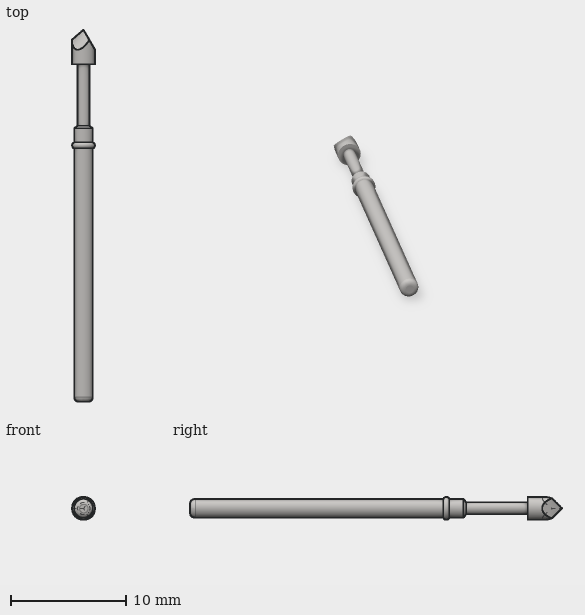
import cadquery as cq
import math

length = 32.3
head_diameter = 2.0
head_length = 3.0
facet_angle = 30.0
facet_count = 3
plunger_diameter = 1.05
plunger_length = 5.33
barrel_diameter = 1.65
barrel_chamfer = 0.23
tail_fillet = 0.45
ring_diameter = 2.0
ring_width = 0.52
ring_setback = 1.7

head_base = length - head_length
barrel_length = head_base - plunger_length
barrel_radius = barrel_diameter / 2
ring_center = barrel_length - ring_setback


def revolve_about_y(profile):
    """Turn a closed XY profile a full revolution about the Y axis."""
    return profile.close().revolve(360, (0, 0, 0), (0, 1, 0))


def make_barrel():
    """Tube body with a rounded tail and a tapered mouth."""
    corner_midpoint = (
        barrel_radius - tail_fillet + tail_fillet * math.sin(math.pi / 4),
        tail_fillet - tail_fillet * math.cos(math.pi / 4),
    )
    profile = (
        cq.Workplane("XY")
        .lineTo(barrel_radius - tail_fillet, 0)
        .threePointArc(corner_midpoint, (barrel_radius, tail_fillet))
        .lineTo(barrel_radius, barrel_length - barrel_chamfer)
        .lineTo(plunger_diameter / 2, barrel_length)
        .lineTo(0, barrel_length)
    )
    return revolve_about_y(profile)


def make_ring():
    """Rounded press ring bulging from the barrel."""
    profile = (
        cq.Workplane("XY")
        .moveTo(0, ring_center - ring_width / 2)
        .lineTo(barrel_radius, ring_center - ring_width / 2)
        .threePointArc(
            (ring_diameter / 2, ring_center),
            (barrel_radius, ring_center + ring_width / 2),
        )
        .lineTo(0, ring_center + ring_width / 2)
    )
    return revolve_about_y(profile)


def make_cylinder(diameter, start, end):
    """Round bar along Y from start to end."""
    return cq.Workplane("XZ", origin=(0, start, 0)).circle(diameter / 2).extrude(start - end)


def make_head():
    """Cylinder cut to a three-sided point, with one facet facing +X."""
    reach = head_diameter
    axial_reach = reach / math.tan(math.radians(facet_angle))
    waste = (
        cq.Workplane("XY")
        .moveTo(reach, length - axial_reach)
        .lineTo(-reach, length + axial_reach)
        .lineTo(reach, length + axial_reach)
        .close()
        .extrude(reach, both=True)
    )
    head = make_cylinder(head_diameter, head_base, length)
    for index in range(facet_count):
        turn = index * 360 / facet_count
        head = head.cut(waste.rotate((0, 0, 0), (0, 1, 0), turn))
    return head


barrel = make_barrel().union(make_ring())
plunger = make_cylinder(plunger_diameter, barrel_length, head_base).union(make_head())
result = barrel.union(plunger)